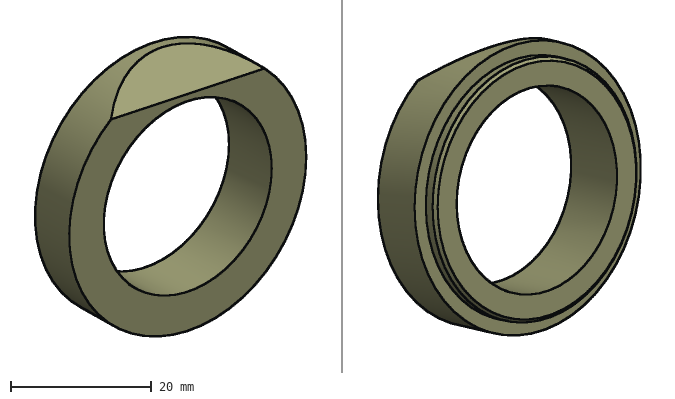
import cadquery as cq
import math

outer_diameter = 42.4
bore_diameter = 30.0
total_length = 10.0

spigot_diameter = 38.2
spigot_length = 2.0
spigot_chamfer = 0.5

flat_start = 2.0
flat_angle = 40.0

outer_radius = outer_diameter / 2
flange_length = total_length - spigot_length
flat_run = flange_length - flat_start
flat_drop = flat_run * math.tan(math.radians(flat_angle))


def cylinder_along_x(diameter, start, length):
    return cq.Workplane("YZ").workplane(offset=start).circle(diameter / 2).extrude(length)


def flat_cutter():
    """Triangular prism that removes the top corner of the +X rim."""
    return (
        cq.Workplane("XZ")
        .moveTo(total_length - flat_run, outer_radius)
        .lineTo(total_length, outer_radius)
        .lineTo(total_length, outer_radius - flat_drop)
        .close()
        .extrude(outer_radius, both=True)
    )


spigot = cylinder_along_x(spigot_diameter, 0, spigot_length).faces("<X").chamfer(spigot_chamfer)
flange = cylinder_along_x(outer_diameter, spigot_length, flange_length)
bore = cylinder_along_x(bore_diameter, 0, total_length)

result = spigot.union(flange).cut(bore).cut(flat_cutter())